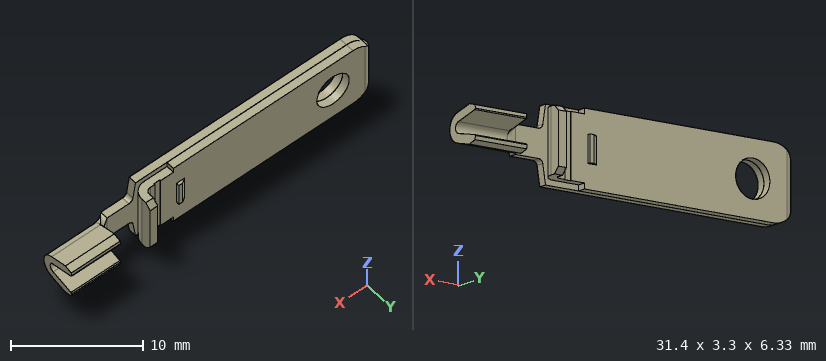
import cadquery as cq
import math


length = 31.35
width = 6.33
sheet = 0.75
fold_gap = 0.015
half_width = width / 2
fold_radius = sheet + fold_gap / 2
rear_inner_y = sheet + fold_gap
rear_outer_y = rear_inner_y + sheet

corner_radius = 1.97
fold_half_width = 2.05

hole_x = 3.95
hole_diameter = 3.2

shoulder_x = 22.88
shoulder_lean = 9.0
neck_half_width = 1.2
neck_end_x = 25.7
neck_fillet = 0.4

tongue_x = 19.78
tongue_width = 5.4
tongue_face_x = 23.3
tongue_top_y = 2.95
tongue_bend_radius = 0.47
tongue_chamfer = 0.5

groove_x = 21.3
groove_width = 0.55
groove_depth = 0.1

stop_start_x = 18.65
stop_crest_x = 19.1
stop_end_x = 19.45
stop_height = 0.28
stop_width = 2.25

barrel_x = 26.48
barrel_radius = 1.22
wing_lean = 14.0
wing_length = 1.65
wing_shoulder = (3.23, 1.38)
wing_tip = (3.3, 1.05)
wing_taper_y = 3.2


def both_sides(body):
    """Join a body with its mirror image about mid-width."""
    return body.union(body.mirror("XY"))


def front_leaf():
    """Flat leaf with leaning shoulders that run into the neck."""
    shoulder_depth = half_width - neck_half_width
    neck_start_x = shoulder_x + shoulder_depth * math.tan(math.radians(shoulder_lean))
    leaf = (
        cq.Workplane("XZ")
        .moveTo(fold_radius, half_width)
        .lineTo(shoulder_x, half_width)
        .lineTo(neck_start_x, neck_half_width)
        .lineTo(neck_end_x, neck_half_width)
        .lineTo(neck_end_x, -neck_half_width)
        .lineTo(neck_start_x, -neck_half_width)
        .lineTo(shoulder_x, -half_width)
        .lineTo(fold_radius, -half_width)
        .close()
        .extrude(-sheet)
    )
    corner_zone = cq.selectors.BoxSelector(
        (neck_start_x - sheet, -sheet, -neck_half_width - sheet / 2),
        (neck_start_x + sheet, 2 * sheet, neck_half_width + sheet / 2),
    )
    return leaf.edges(corner_zone).edges("|Y").fillet(neck_fillet)


def fold():
    """Half-round bend that joins the two leaves."""
    inner_radius = fold_gap / 2
    return (
        cq.Workplane("XY")
        .workplane(offset=-half_width)
        .moveTo(fold_radius, 0)
        .threePointArc((0, fold_radius), (fold_radius, rear_outer_y))
        .lineTo(fold_radius, rear_inner_y)
        .threePointArc((fold_radius - inner_radius, fold_radius), (fold_radius, sheet))
        .close()
        .extrude(width)
    )


def rear_leaf():
    """Full-width rear leaf, followed by a narrower tongue bent away from the front leaf."""
    leaf = cq.Workplane("XY").box(
        tongue_x - fold_radius, sheet, width, centered=(False, False, True)
    ).translate((fold_radius, rear_inner_y, 0))

    outer_radius = tongue_bend_radius + sheet
    bend_x = tongue_face_x - outer_radius
    bend_y = rear_outer_y + tongue_bend_radius
    diagonal = math.sqrt(0.5)
    tongue = (
        cq.Workplane("XY")
        .workplane(offset=-tongue_width / 2)
        .moveTo(tongue_x, rear_inner_y)
        .lineTo(bend_x, rear_inner_y)
        .threePointArc(
            (bend_x + outer_radius * diagonal, bend_y - outer_radius * diagonal),
            (tongue_face_x, bend_y),
        )
        .lineTo(tongue_face_x, tongue_top_y)
        .lineTo(tongue_face_x - sheet, tongue_top_y)
        .lineTo(tongue_face_x - sheet, bend_y)
        .threePointArc(
            (bend_x + tongue_bend_radius * diagonal, bend_y - tongue_bend_radius * diagonal),
            (bend_x, rear_outer_y),
        )
        .lineTo(tongue_x, rear_outer_y)
        .close()
        .extrude(tongue_width)
        .faces(">Y")
        .edges("|X")
        .chamfer(tongue_chamfer)
    )
    return leaf.union(tongue)


def stop():
    """Ramped stop standing on the rear leaf."""
    crest_y = rear_outer_y + stop_height
    return (
        cq.Workplane("XY")
        .workplane(offset=-stop_width / 2)
        .moveTo(stop_start_x, rear_outer_y)
        .lineTo(stop_crest_x, crest_y)
        .lineTo(stop_end_x, crest_y)
        .lineTo(stop_end_x, rear_outer_y)
        .close()
        .extrude(stop_width)
    )


def corner_waste():
    """Material outside the rounded corners at the folded end."""
    center_z = half_width - corner_radius

    def arc_x(z):
        return corner_radius - math.sqrt(corner_radius**2 - (z - center_z) ** 2)

    middle_z = (half_width + fold_half_width) / 2
    waste = (
        cq.Workplane("XZ")
        .moveTo(corner_radius, half_width)
        .threePointArc((arc_x(middle_z), middle_z), (arc_x(fold_half_width), fold_half_width))
        .lineTo(0, fold_half_width)
        .lineTo(0, half_width)
        .close()
        .extrude(-rear_outer_y)
    )
    return both_sides(waste)


def barrel_point(radius, angle):
    """(Y, Z) point on the barrel floor, with the angle measured from mid-width."""
    turn = math.radians(angle)
    return (barrel_radius - radius * math.cos(turn), radius * math.sin(turn))


floor_sweep = 90 - wing_lean
floor_inner_radius = barrel_radius - sheet
floor_outer = barrel_point(barrel_radius, floor_sweep)
floor_outer_middle = barrel_point(barrel_radius, floor_sweep / 2)
floor_inner = barrel_point(floor_inner_radius, floor_sweep)
floor_inner_middle = barrel_point(floor_inner_radius, floor_sweep / 2)


def barrel():
    """Open U-shaped crimp barrel with wings that lean outward and taper to a tip."""
    lean = math.radians(wing_lean)
    wing_top = (
        floor_outer[0] + wing_length * math.cos(lean),
        floor_outer[1] + wing_length * math.sin(lean),
    )
    taper_start = (
        wing_taper_y,
        floor_inner[1] + (wing_taper_y - floor_inner[0]) * math.tan(lean),
    )
    half = (
        cq.Workplane("YZ", origin=(barrel_x, 0, 0))
        .moveTo(0, 0)
        .threePointArc(floor_outer_middle, floor_outer)
        .lineTo(*wing_top)
        .lineTo(*wing_shoulder)
        .lineTo(*wing_tip)
        .lineTo(*taper_start)
        .lineTo(*floor_inner)
        .threePointArc(floor_inner_middle, (sheet, 0))
        .close()
        .extrude(length - barrel_x)
    )
    return both_sides(half)


def transition():
    """Blend from the flat neck to the curved floor of the barrel."""
    flat_end = (
        cq.Workplane("YZ", origin=(neck_end_x, 0, 0))
        .moveTo(0, -neck_half_width)
        .lineTo(0, neck_half_width)
        .lineTo(sheet, neck_half_width)
        .lineTo(sheet, -neck_half_width)
        .close()
    )
    curved_end = (
        cq.Workplane("YZ", origin=(barrel_x, 0, 0))
        .moveTo(floor_outer[0], -floor_outer[1])
        .threePointArc((0, 0), floor_outer)
        .lineTo(*floor_inner)
        .threePointArc((sheet, 0), (floor_inner[0], -floor_inner[1]))
        .close()
    )
    return cq.Workplane(obj=cq.Solid.makeLoft([flat_end.val(), curved_end.val()], True))


def tongue_groove():
    """Shallow groove across the outer face of the tongue."""
    return cq.Workplane("XY").box(groove_width, 2 * groove_depth, tongue_width).translate(
        (groove_x, rear_outer_y, 0)
    )


def ring_hole():
    """Round hole through both leaves."""
    return (
        cq.Workplane("XZ")
        .center(hole_x, 0)
        .circle(hole_diameter / 2)
        .extrude(-rear_outer_y)
    )


folded_sheet = front_leaf().union(fold()).union(rear_leaf()).union(stop())
folded_sheet = folded_sheet.cut(corner_waste()).cut(ring_hole()).cut(tongue_groove())
result = folded_sheet.union(transition()).union(barrel())